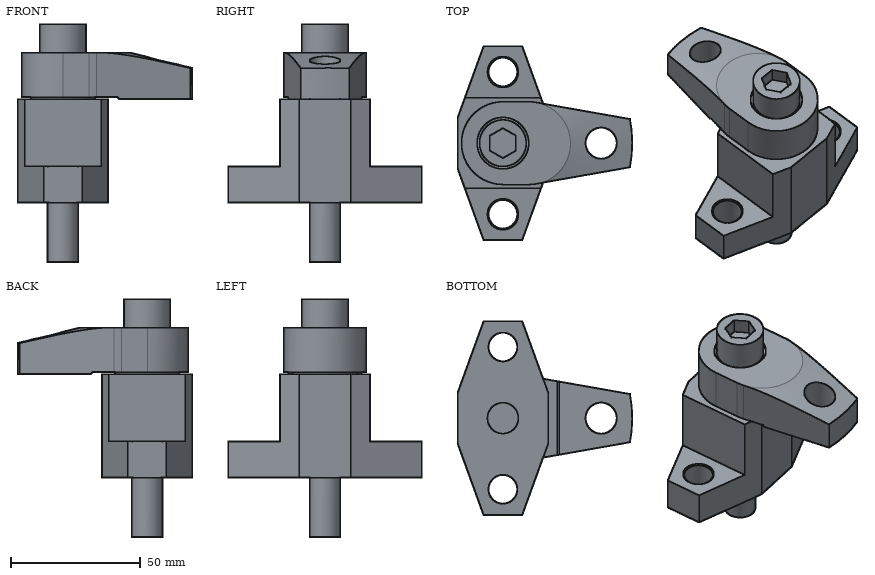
import cadquery as cq
import math


base_length = 75.0
base_width = 35.0
base_flat_length = 20.0
base_end_width = 15.0
block_length = base_width
flange_height = 14.0
base_height = 40.0
flange_hole_diameter = 11.0
flange_hole_chamfer = 0.5
flange_hole_spacing = 55.0

screw_diameter = 12.0
screw_head_diameter = 18.0
screw_head_height = screw_diameter
screw_length = 92.0
screw_protrusion = 23.0
socket_across_flats = 10.0
socket_depth = 6.0
screw_top = screw_length - screw_protrusion
screw_seat = screw_top - screw_head_height

clamp_top = 58.05
clamp_radius = 16.0
clamp_straight = 10.0
arm_reach = 50.05
arm_taper_angle = 10.0
arm_top_drop = 6.0
arm_hole_diameter = 12.0
arm_hole_position = 38.0
boss_diameter = 25.0
underside_clearance = 0.7
underside_relief_end = 21.1
spotface_diameter = 20.0


def make_base():
    """Hexagonal base with a tall middle block and a drilled flange at each end."""
    half_width = base_width / 2
    half_flat = base_flat_length / 2
    half_end = base_end_width / 2
    half_length = base_length / 2
    corner_points = [
        (-half_width, -half_flat),
        (-half_end, -half_length),
        (half_end, -half_length),
        (half_width, -half_flat),
        (half_width, half_flat),
        (half_end, half_length),
        (-half_end, half_length),
        (-half_width, half_flat),
    ]
    outline = cq.Workplane("XY").polyline(corner_points).close()
    body = outline.extrude(base_height)

    flange_length = (base_length - block_length) / 2
    flange_centre = (base_length + block_length) / 4
    for side in (-1, 1):
        space_above_flange = (
            cq.Workplane("XY", origin=(0, side * flange_centre, flange_height))
            .rect(base_width, flange_length)
            .extrude(base_height - flange_height)
        )
        body = body.cut(space_above_flange)

    mouth_diameter = flange_hole_diameter + 2 * flange_hole_chamfer
    for side in (-1, 1):
        hole_y = side * flange_hole_spacing / 2
        hole = (
            cq.Workplane("XY", origin=(0, hole_y, 0))
            .circle(flange_hole_diameter / 2)
            .extrude(flange_height)
        )
        mouth = (
            cq.Workplane("XY", origin=(0, hole_y, flange_height))
            .circle(mouth_diameter / 2)
            .workplane(offset=-flange_hole_chamfer)
            .circle(flange_hole_diameter / 2)
            .loft()
        )
        body = body.cut(hole).cut(mouth)

    screw_hole = cq.Workplane("XY").circle(screw_diameter / 2).extrude(base_height)
    return body.cut(screw_hole)


def make_clamp_blank():
    """Rounded clamp with tangent tapering sides and a tip arc about the screw axis."""
    taper = math.radians(arm_taper_angle)
    tangent_x = clamp_straight + clamp_radius * math.sin(taper)
    tangent_y = clamp_radius * math.cos(taper)
    middle_x = clamp_straight + clamp_radius * math.sin(taper / 2)
    middle_y = clamp_radius * math.cos(taper / 2)

    side_distance = clamp_radius + clamp_straight * math.sin(taper)
    tip_angle = math.asin(side_distance / arm_reach) - taper
    tip_x = arm_reach * math.cos(tip_angle)
    tip_y = arm_reach * math.sin(tip_angle)

    return (
        cq.Workplane("XY", origin=(0, 0, base_height))
        .moveTo(0, clamp_radius)
        .threePointArc((-clamp_radius, 0), (0, -clamp_radius))
        .lineTo(clamp_straight, -clamp_radius)
        .threePointArc((middle_x, -middle_y), (tangent_x, -tangent_y))
        .lineTo(tip_x, -tip_y)
        .threePointArc((arm_reach, 0), (tip_x, tip_y))
        .lineTo(tangent_x, tangent_y)
        .threePointArc((middle_x, middle_y), (clamp_straight, clamp_radius))
        .close()
        .extrude(clamp_top - base_height)
    )


def make_cone_cutter():
    """Ring with a conical underside that slopes the top of the arm down to its tip."""
    slope_length = arm_reach - clamp_straight - clamp_radius
    slope = arm_top_drop / slope_length
    cutter_length = 2 * slope_length
    outer_radius = clamp_radius + cutter_length
    ring = (
        cq.Workplane("XZ", origin=(clamp_straight, 0, 0))
        .moveTo(clamp_radius, clamp_top)
        .lineTo(outer_radius, clamp_top)
        .lineTo(outer_radius, clamp_top - slope * cutter_length)
        .close()
        .revolve(360, (0, 0, 0), (0, 1, 0))
    )
    arm_side = (
        cq.Workplane("XY", origin=(clamp_straight, 0, 0))
        .rect(outer_radius, 2 * outer_radius, centered=(False, True))
        .extrude(clamp_top)
    )
    return ring.intersect(arm_side)


def make_underside_relief():
    """Clearance under the clamp that leaves a round boss and the arm's bevelled pad."""
    relief_top = base_height + underside_clearance
    relief = (
        cq.Workplane("XZ", origin=(0, clamp_radius, 0))
        .moveTo(-clamp_radius, base_height)
        .lineTo(underside_relief_end + underside_clearance, base_height)
        .lineTo(underside_relief_end, relief_top)
        .lineTo(-clamp_radius, relief_top)
        .close()
        .extrude(2 * clamp_radius)
    )
    boss = (
        cq.Workplane("XY", origin=(0, 0, base_height))
        .circle(boss_diameter / 2)
        .extrude(underside_clearance)
    )
    return relief.cut(boss)


def make_clamp():
    """Clamp arm resting on the base, with a spotface for the screw head."""
    clamp_height = clamp_top - base_height
    screw_hole = (
        cq.Workplane("XY", origin=(0, 0, base_height))
        .circle(screw_diameter / 2)
        .extrude(clamp_height)
    )
    spotface = (
        cq.Workplane("XY", origin=(0, 0, screw_seat))
        .circle(spotface_diameter / 2)
        .extrude(clamp_top - screw_seat)
    )
    arm_hole = (
        cq.Workplane("XY", origin=(arm_hole_position, 0, base_height))
        .circle(arm_hole_diameter / 2)
        .extrude(clamp_height)
    )
    return (
        make_clamp_blank()
        .cut(make_cone_cutter())
        .cut(make_underside_relief())
        .cut(screw_hole)
        .cut(spotface)
        .cut(arm_hole)
    )


def make_screw():
    """Cap screw with a hexagon socket, passing through the clamp and the base."""
    shank = (
        cq.Workplane("XY", origin=(0, 0, -screw_protrusion))
        .circle(screw_diameter / 2)
        .extrude(screw_seat + screw_protrusion)
    )
    head = (
        cq.Workplane("XY", origin=(0, 0, screw_seat))
        .circle(screw_head_diameter / 2)
        .extrude(screw_head_height)
    )
    socket_across_corners = socket_across_flats / math.cos(math.pi / 6)
    socket = (
        cq.Workplane("XY", origin=(0, 0, screw_top - socket_depth))
        .polygon(6, socket_across_corners)
        .extrude(socket_depth)
        .rotate((0, 0, 0), (0, 0, 1), 30)
    )
    return shank.union(head).cut(socket)


base = make_base().solids()
clamp = make_clamp().solids()
screw = make_screw().solids()

result = cq.Compound.makeCompound([base.val(), clamp.val(), screw.val()])